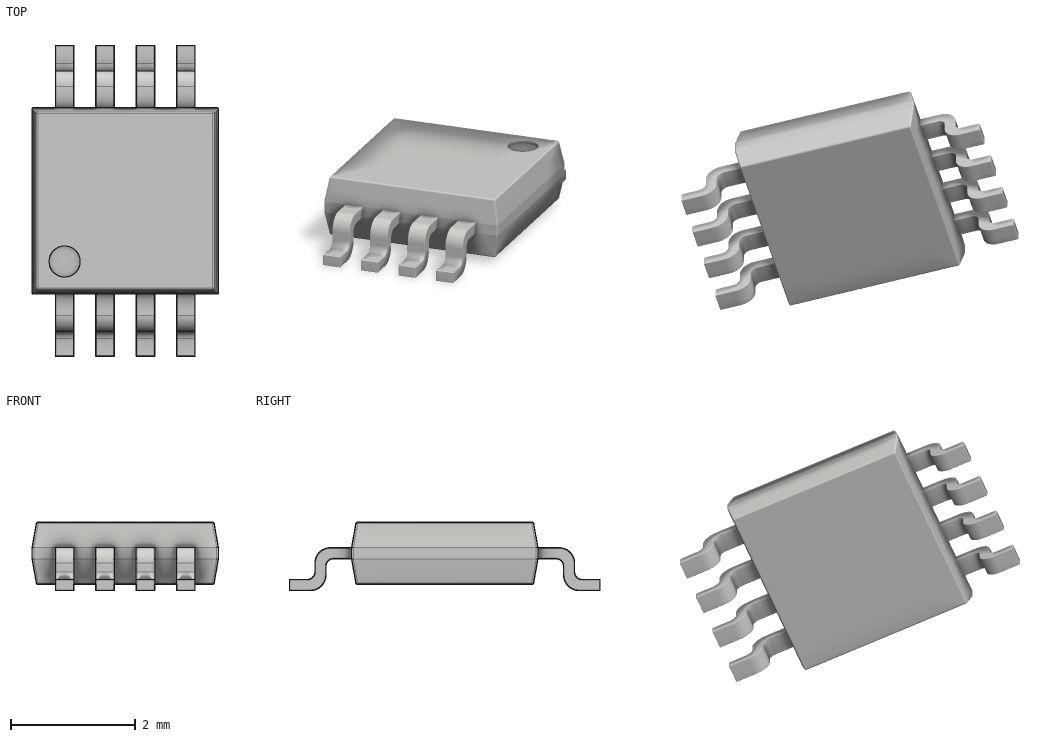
import cadquery as cq
import math

body_width = 3.0
body_bottom = 0.1
body_top = 1.1
draft_angle = 10.0
body_edge_radius = 0.03

lead_span = 5.0
lead_width = 0.3
lead_thickness = 0.18
lead_pitch = 0.65
leads_per_side = 4
riser_outer_y = 2.09
bend_inner_radius = 0.12
bend_outer_radius = 0.25
lead_edge_radius = 0.01
lead_embed = 0.2

dimple_radius = 0.25
dimple_depth = 0.05

half_body = body_width / 2
body_middle = (body_bottom + body_top) / 2
band_bottom = body_middle - lead_thickness / 2
band_top = body_middle + lead_thickness / 2
lead_tip_y = lead_span / 2
riser_inner_y = riser_outer_y - lead_thickness
lead_root_y = half_body - lead_embed
first_lead_x = -lead_pitch * (leads_per_side - 1) / 2
dimple_x = first_lead_x
dimple_y = first_lead_x


def make_body():
    """Square body tapering up and down from an upright band, with rounded corners and rims."""
    inset = (body_top - band_top) * math.tan(math.radians(draft_angle))
    profile = [
        (-half_body + inset, body_bottom),
        (half_body - inset, body_bottom),
        (half_body, band_bottom),
        (half_body, band_top),
        (half_body - inset, body_top),
        (-half_body + inset, body_top),
        (-half_body, band_top),
        (-half_body, band_bottom),
    ]
    along_y = cq.Workplane("XZ").polyline(profile).close().extrude(half_body, both=True)
    along_x = cq.Workplane("YZ").polyline(profile).close().extrude(half_body, both=True)
    body = along_y.intersect(along_x)
    body = body.edges("not(#Z)").fillet(body_edge_radius)
    return body.faces("<Z or >Z").edges().fillet(body_edge_radius)


def make_lead(x):
    """Gull-wing lead on the +Y side, centred at x."""
    return (
        cq.Workplane("YZ", origin=(x, 0, 0))
        .moveTo(lead_root_y, band_top)
        .lineTo(riser_outer_y - bend_outer_radius, band_top)
        .tangentArcPoint((bend_outer_radius, -bend_outer_radius))
        .lineTo(riser_outer_y, lead_thickness + bend_inner_radius)
        .tangentArcPoint((bend_inner_radius, -bend_inner_radius))
        .lineTo(lead_tip_y, lead_thickness)
        .lineTo(lead_tip_y, 0)
        .lineTo(riser_inner_y + bend_outer_radius, 0)
        .tangentArcPoint((-bend_outer_radius, bend_outer_radius))
        .lineTo(riser_inner_y, band_bottom - bend_inner_radius)
        .tangentArcPoint((-bend_inner_radius, bend_inner_radius))
        .lineTo(lead_root_y, band_bottom)
        .close()
        .extrude(lead_width / 2, both=True)
        .faces("<X or >X or >Y")
        .edges()
        .fillet(lead_edge_radius)
    )


def make_dimple():
    """Shallow round cutter for the pin-one mark in the top face."""
    return (
        cq.Workplane("XY", origin=(dimple_x, dimple_y, body_top))
        .circle(dimple_radius)
        .extrude(-dimple_depth)
    )


result = make_body().cut(make_dimple())
for index in range(leads_per_side):
    lead = make_lead(first_lead_x + index * lead_pitch)
    result = result.union(lead).union(lead.mirror("XZ"))